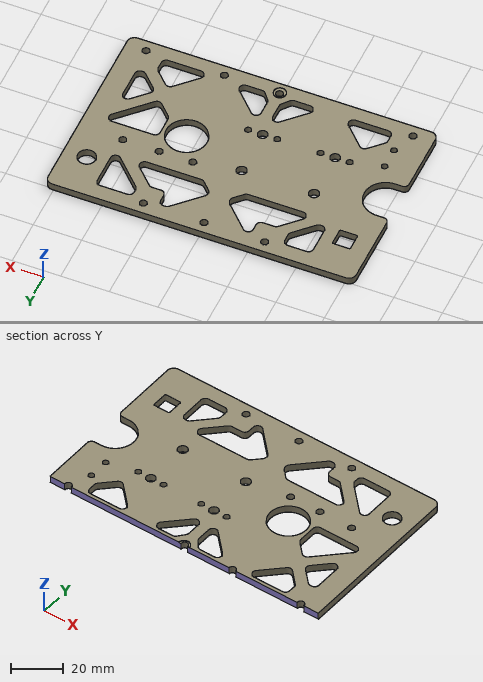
import cadquery as cq

LENGTH = 127.0
WIDTH = 81.4
THICKNESS = 3.25
CORNER_RADIUS = 3.0
MIDDLE_X = LENGTH / 2

NOTCH_RADIUS = 8.75
NOTCH_CENTER = (5.1, 38.7)
NOTCH_MOUTH_RADIUS = 2.0

BIG_HOLE_DIAMETER = 16.74
BIG_HOLE_CENTER = (87.05, 38.7)
PORT_SIZE = 7.35
PORT_Y = 63.5
ROUND_PORT_X = 117.5
SQUARE_PORT_X = 11.1
SQUARE_PORT_RADIUS = 0.5

MOUNT_DIAMETER = 3.0
MOUNT_EDGE_DISTANCE = 4.7
TOP_MOUNT_PITCH = 25.0
BOTTOM_MOUNT_SPAN = 110.0
EXTRA_MOUNT_CENTER = (86.3, 4.5)

UPPER_ROW_XS = (79.65, 93.5, 108.5)
UPPER_ROW_Y = 50.0

GROUP_XS = (31.15, 61.0)
GROUP_UPPER_DIAMETER = 4.2
GROUP_UPPER_Y = 46.6
GROUP_LOWER_DIAMETER = 4.0
GROUP_LOWER_Y = 26.55
GROUP_SCREW_DIAMETER = 2.6
GROUP_SCREW_OFFSET = 6.0

SMALL_HOLE_DIAMETER = 2.5
SMALL_HOLE_X = 12.2
SMALL_HOLE_YS = (14.3, 23.25)

RECESS_DIAMETER = 5.03
RECESS_CENTER = (MIDDLE_X, 4.35)
RECESS_DEPTH = 0.2

POCKET_RADIUS = 2.0
TOP_POCKET_Y = 74.9
BOTTOM_POCKET_Y = 5.95
RIGHT_POCKET_X = 117.8
RIGHT_POCKETS_FALL = 129.55
STEPPED_POCKET_FALL = 122.4


def rising(x, rise):
    """Point at x on the 45 degree line y = x + rise."""
    return (x, x + rise)


def falling(x, fall):
    """Point at x on the 45 degree line x + y = fall."""
    return (x, fall - x)


def crossing(rise, fall):
    """Point where the rising line y = x + rise meets the falling line x + y = fall."""
    return rising((fall - rise) / 2, rise)


def mirrored(points):
    """The points reflected across the middle of the plate's length."""
    return [(LENGTH - x, y) for x, y in points]


def upper_left_pocket():
    left, right, bottom, rise = 20.05, 31.8, 60.5, 37.2
    return [
        (left, TOP_POCKET_Y),
        (right, TOP_POCKET_Y),
        rising(right, rise),
        (bottom - rise, bottom),
        (left, bottom),
    ]


def upper_right_pocket():
    left, right, fall = 93.9, 109.1, 164.5
    return [(left, TOP_POCKET_Y), (right, TOP_POCKET_Y), falling(right, fall), falling(left, fall)]


def stepped_pocket(step_x, top_points):
    """Pocket left of the middle, its upper left corner stepped down; top_points close its top."""
    bottom, step_y, right = 56.9, 67.95, 59.0
    outer_rise, inner_fall, lower_rise = 30.45, STEPPED_POCKET_FALL, 2.3
    return [
        (bottom - outer_rise, bottom),
        (step_y - outer_rise, step_y),
        (step_x, step_y),
        *top_points,
        falling(right, inner_fall),
        rising(right, lower_rise),
        (bottom - lower_rise, bottom),
    ]


def pointed_stepped_pocket():
    """Stepped pocket on the left, coming to a point at its top."""
    step_x = 45.0
    return stepped_pocket(step_x, [falling(step_x, STEPPED_POCKET_FALL)])


def blunt_stepped_pocket():
    """Stepped pocket on the right, cut off level with the pockets beside it."""
    step_x = 44.0
    blunt_end = (STEPPED_POCKET_FALL - TOP_POCKET_Y, TOP_POCKET_Y)
    return mirrored(stepped_pocket(step_x, [(step_x, TOP_POCKET_Y), blunt_end]))


def right_upper_pocket():
    left, top, rise = 97.0, 43.0, -77.85
    return [
        (left, top),
        (top - rise, top),
        crossing(rise, RIGHT_POCKETS_FALL),
        falling(left, RIGHT_POCKETS_FALL),
    ]


def right_lower_pocket():
    bottom, rise = 15.0, -84.7
    return [
        crossing(rise, RIGHT_POCKETS_FALL),
        rising(RIGHT_POCKET_X, rise),
        (RIGHT_POCKET_X, bottom),
        (RIGHT_POCKETS_FALL - bottom, bottom),
    ]


def corner_pocket():
    """Roof-shaped pocket near the lower left corner of the plate."""
    outer_x, outer_rise, inner_fall = 16.2, -4.5, 42.4
    return [
        (outer_x, BOTTOM_POCKET_Y),
        rising(outer_x, outer_rise),
        crossing(outer_rise, inner_fall),
        (inner_fall - BOTTOM_POCKET_Y, BOTTOM_POCKET_Y),
    ]


def bottom_middle_pocket():
    """Pocket left of the recessed mounting hole, cut back beside it."""
    right, rise = 61.1, -39.6
    relief_top_y, relief_bottom_x = 10.0, 57.8
    return [
        (BOTTOM_POCKET_Y - rise, BOTTOM_POCKET_Y),
        rising(right, rise),
        (right, relief_top_y),
        (relief_bottom_x, BOTTOM_POCKET_Y),
    ]


def plate():
    body = cq.Workplane("XY").rect(LENGTH, WIDTH, centered=False).extrude(THICKNESS)
    return body.edges("|Z").fillet(CORNER_RADIUS)


def notch():
    """Cutter for the round-ended notch, flared by the rounded corners of its mouth."""
    center_x, center_y = NOTCH_CENTER
    low = center_y - NOTCH_RADIUS
    high = center_y + NOTCH_RADIUS
    flare = NOTCH_MOUTH_RADIUS
    return (
        cq.Workplane("XY")
        .moveTo(0, low - flare)
        .radiusArc((flare, low), flare)
        .lineTo(center_x, low)
        .threePointArc((center_x + NOTCH_RADIUS, center_y), (center_x, high))
        .lineTo(flare, high)
        .radiusArc((0, high + flare), flare)
        .close()
        .extrude(THICKNESS)
    )


def pocket(points):
    """Cutter for a through pocket with rounded corners."""
    return cq.Workplane("XY").polyline(points).close().extrude(THICKNESS).edges("|Z").fillet(POCKET_RADIUS)


def holes(diameter, centers):
    """Cutter for round through holes."""
    return cq.Workplane("XY").pushPoints(centers).circle(diameter / 2).extrude(THICKNESS)


def square_port():
    port = cq.Workplane("XY").center(SQUARE_PORT_X, PORT_Y).rect(PORT_SIZE, PORT_SIZE)
    return port.extrude(THICKNESS).edges("|Z").fillet(SQUARE_PORT_RADIUS)


def recess():
    """Cutter for the shallow round recess in the top face."""
    floor = cq.Workplane("XY").workplane(offset=THICKNESS - RECESS_DEPTH)
    return floor.center(*RECESS_CENTER).circle(RECESS_DIAMETER / 2).extrude(RECESS_DEPTH)


def mount_centers():
    """Centres of the 3 mm holes along both long edges and above the big hole."""
    top_y = WIDTH - MOUNT_EDGE_DISTANCE
    bottom_y = MOUNT_EDGE_DISTANCE
    centers = [(MIDDLE_X + step * TOP_MOUNT_PITCH, top_y) for step in (-1, 0, 1)]
    centers += [(MIDDLE_X + side * BOTTOM_MOUNT_SPAN / 2, bottom_y) for side in (-1, 0, 1)]
    centers.append(EXTRA_MOUNT_CENTER)
    centers += [(x, UPPER_ROW_Y) for x in UPPER_ROW_XS]
    return centers


group_screws = [(x + side * GROUP_SCREW_OFFSET, GROUP_LOWER_Y) for x in GROUP_XS for side in (-1, 1)]

pocket_outlines = [
    upper_left_pocket(),
    upper_right_pocket(),
    pointed_stepped_pocket(),
    blunt_stepped_pocket(),
    right_upper_pocket(),
    right_lower_pocket(),
    corner_pocket(),
    mirrored(corner_pocket()),
    bottom_middle_pocket(),
    mirrored(bottom_middle_pocket()),
]

cutters = [
    notch(),
    square_port(),
    recess(),
    holes(BIG_HOLE_DIAMETER, [BIG_HOLE_CENTER]),
    holes(PORT_SIZE, [(ROUND_PORT_X, PORT_Y)]),
    holes(MOUNT_DIAMETER, mount_centers()),
    holes(GROUP_UPPER_DIAMETER, [(x, GROUP_UPPER_Y) for x in GROUP_XS]),
    holes(GROUP_LOWER_DIAMETER, [(x, GROUP_LOWER_Y) for x in GROUP_XS]),
    holes(GROUP_SCREW_DIAMETER, group_screws),
    holes(SMALL_HOLE_DIAMETER, [(SMALL_HOLE_X, y) for y in SMALL_HOLE_YS]),
]
cutters += [pocket(outline) for outline in pocket_outlines]

result = plate()
for cutter in cutters:
    result = result.cut(cutter)